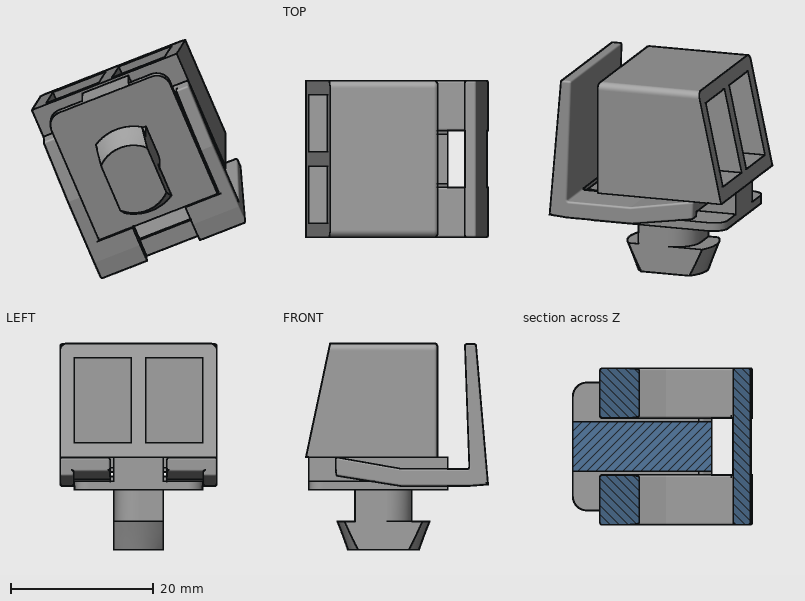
import cadquery as cq
import math


box_width = 22.0
box_height = 16.0
box_top_left = -7.5
box_right = 7.6
front_face_slant = 12.0
side_round = 1.0
back_round = 0.5
wall = 2.0
pocket_width = (box_width - 3 * wall) / 2
pocket_height = 12.0

neck_width = 7.0
neck_height = 3.4
flange_left = -10.5
flange_right = 9.05
flange_width = 18.0
flange_thickness = 1.2
flange_corner = 2.0
ridge_left = 7.2
ridge_crest_end = 7.8
ridge_height = 0.7
ridge_round = 0.5
stem_length = 8.0
stem_height = 4.4
head_top_radius = 6.5
head_bottom_radius = 5.0
head_height = 4.0

clip_width = box_width
clip_top = 15.9
clip_edge_round = 0.3
arm_slope = 10.0
arm_tip_x = -6.75
arm_tip_bottom_x = -6.65
arm_tip_thickness = 2.6
arm_bend_x = 2.6
foot_bottom = -4.05
foot_bottom_end_x = 12.1
upright_inner_top_x = 11.42
upright_inner_bottom_x = 12.05
upright_outer_top_x = 13.0
upright_outer_bottom = -3.85
upright_outer_bottom_x = 14.7
slot_width = 8.0
window_top = -2.1
recess_side_clearance = 0.1
recess_top_clearance = 0.3
recess_tip_ceiling = -1.95

flange_top = -neck_height
flange_bottom = flange_top - flange_thickness
head_top = flange_bottom - stem_height
head_bottom = head_top - head_height
box_bottom_left = box_top_left - box_height * math.tan(math.radians(front_face_slant))
arm_drop = (arm_bend_x - arm_tip_x) * math.tan(math.radians(arm_slope))
foot_top = -arm_drop
recess_end = flange_right + recess_top_clearance
recess_width = flange_width + 2 * recess_side_clearance


def block(x_min, x_max, width, z_min, z_max):
    """Rectangular block centred on Y = 0."""
    size = (x_max - x_min, width, z_max - z_min)
    return cq.Workplane("XY").box(*size, centered=(False, True, False)).translate((x_min, 0, z_min))


def side_prism(points, width):
    """Prism with an outline in X and Z, extruded evenly to both sides of Y = 0."""
    return cq.Workplane("XZ").polyline(points).close().extrude(width / 2, both=True)


def make_box():
    outline = [(box_bottom_left, 0), (box_right, 0), (box_right, box_height), (box_top_left, box_height)]
    box = side_prism(outline, box_width)
    box = box.faces(">Z").edges("|X").fillet(side_round)
    box = box.faces(">X").edges("not <Z").fillet(back_round)
    pocket_floor = (box_height - pocket_height) / 2
    pocket_ceiling = pocket_floor + pocket_height
    pocket = block(box_bottom_left, box_right - wall, pocket_width, pocket_floor, pocket_ceiling)
    for side in (-1, 1):
        box = box.cut(pocket.translate((0, side * (pocket_width + wall) / 2, 0)))
    return box


def make_flange():
    flange = block(flange_left, flange_right, flange_width, flange_bottom, flange_top)
    return flange.faces("<X").edges("|Z").fillet(flange_corner)


def make_ridge():
    """Catch that fills the clip slot beside the neck, with a ramp falling to the flange end."""
    crest = flange_top + ridge_height
    outline = [
        (ridge_left, flange_top),
        (flange_right, flange_top),
        (ridge_crest_end, crest),
        (ridge_left, crest),
    ]
    ridge = side_prism(outline, slot_width)
    crest_edge = cq.selectors.NearestToPointSelector((ridge_crest_end, 0, crest))
    return ridge.edges("|Y").edges(crest_edge).fillet(ridge_round)


def make_stem():
    """Stem with two opposite corners rounded, so that it turns one way only."""
    half_length = stem_length / 2
    radius = neck_width / 2
    arc_centre = half_length - radius
    reach = radius * math.sqrt(0.5)
    return (
        cq.Workplane("XY", origin=(0, 0, head_top))
        .moveTo(-half_length, -radius)
        .lineTo(arc_centre, -radius)
        .threePointArc((arc_centre + reach, -reach), (half_length, 0))
        .lineTo(half_length, radius)
        .lineTo(-arc_centre, radius)
        .threePointArc((-arc_centre - reach, reach), (-half_length, 0))
        .close()
        .extrude(stem_height)
    )


def make_head():
    cone = cq.Workplane(
        cq.Solid.makeCone(head_bottom_radius, head_top_radius, head_height, cq.Vector(0, 0, head_bottom))
    )
    return cone.intersect(block(-head_top_radius, head_top_radius, neck_width, head_bottom, head_top))


def make_housing():
    neck = block(flange_left, flange_right, neck_width, flange_top, 0)
    housing = make_box()
    for part in (neck, make_flange(), make_ridge(), make_stem(), make_head()):
        housing = housing.union(part)
    return housing


def make_recess():
    """Pocket under the arms that clears the flange, rises with the arm slope and has a bevelled end."""
    ceiling = flange_top + recess_top_clearance
    bend_x = arm_tip_x + (recess_tip_ceiling - ceiling) / math.tan(math.radians(arm_slope))
    outline = [
        (arm_tip_x, recess_tip_ceiling),
        (bend_x, ceiling),
        (recess_end, ceiling),
        (recess_end, flange_bottom),
        (arm_tip_x, flange_bottom),
    ]
    recess = side_prism(outline, recess_width)
    return recess.faces(">X").edges(">Z").chamfer(recess_top_clearance)


def make_clip():
    bottom_bend = (arm_bend_x - (foot_top - foot_bottom) * math.tan(math.radians(arm_slope / 2)), foot_bottom)
    tip_bottom = (arm_tip_bottom_x, -arm_tip_thickness)
    outline = [
        (arm_tip_x, 0),
        (arm_bend_x, foot_top),
        (upright_inner_bottom_x, foot_top),
        (upright_inner_top_x, clip_top),
        (upright_outer_top_x, clip_top),
        (upright_outer_bottom_x, upright_outer_bottom),
        (foot_bottom_end_x, foot_bottom),
        bottom_bend,
        tip_bottom,
    ]
    clip = side_prism(outline, clip_width)
    inner_corner = cq.selectors.NearestToPointSelector((upright_inner_bottom_x, 0, foot_top))
    clip = clip.edges("|Y").edges(inner_corner).fillet(clip_edge_round)

    rim_end = upright_inner_bottom_x - clip_edge_round
    clip = clip.cut(block(arm_tip_x, rim_end, slot_width, foot_bottom, 0))
    clip = clip.cut(make_recess())

    rounded = clip.faces("<Y or >Y").edges()
    rounded = rounded.add(clip.faces(">Z").edges("|Y"))
    rounded = rounded.add(clip.faces("<X").edges())
    slot_rim_points = [((arm_tip_x + arm_bend_x) / 2, foot_top / 2), ((arm_bend_x + rim_end) / 2, foot_top)]
    recess_rim_points = [
        ((tip_bottom[0] + bottom_bend[0]) / 2, (tip_bottom[1] + bottom_bend[1]) / 2),
        ((bottom_bend[0] + recess_end) / 2, foot_bottom),
    ]
    for half_width, points in ((slot_width / 2, slot_rim_points), (recess_width / 2, recess_rim_points)):
        for x, z in points:
            for y in (-half_width, half_width):
                rounded = rounded.add(clip.edges(cq.selectors.NearestToPointSelector((x, y, z))))
    clip = clip.newObject(rounded.vals()).fillet(clip_edge_round)

    upright_lean = (upright_inner_bottom_x - upright_inner_top_x) / (clip_top - foot_top)
    slot_end = upright_inner_bottom_x + foot_top * upright_lean
    clip = clip.cut(block(arm_bend_x, slot_end, slot_width, foot_bottom, 0))
    return clip.cut(block(arm_bend_x, upright_outer_bottom_x, slot_width, foot_bottom, window_top))


housing = make_housing()
clip = make_clip()

result = cq.Compound.makeCompound([housing.solids().val(), clip.solids().val()])